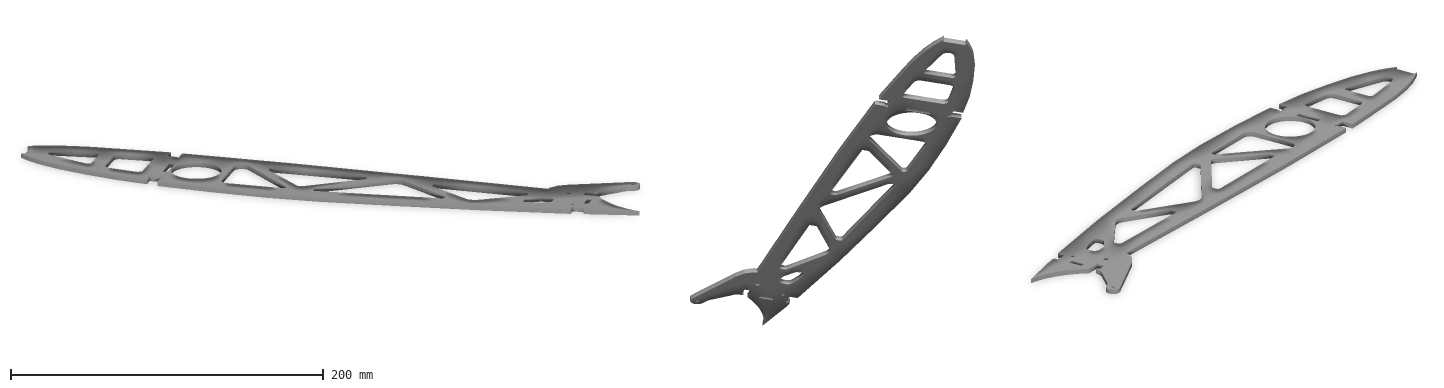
import cadquery as cq
import math

length = 412.0
height = 85.3
thickness = 3.0

nose_inset = 3.0
nose_top = (0, 50.0)
nose_bottom = (0, 34.5)

spar_left = 92.0
spar_right = 99.3
upper_notch_floor = 54.5
lower_notch_floor = 12.0
relief_radius = 1.05

front_top_edge = [(15.5, 55.0), (42.0, 59.5), (spar_left, 62.0)]
rear_top_edge = [(189.0, 61.8), (251.5, 60.0), (344.0, 57.2)]
rear_top_start = (spar_right, 62.0)
front_bottom_start = (spar_left, 5.5)
front_bottom_edge = [(78.3, 7.0), (47.8, 13.5), (28.5, 19.5), (9.5, 28.0), nose_bottom]
rear_bottom_edge = [(329.0, 15.2), (288.5, 10.0), (251.2, 5.8), (212.0, 1.5), (164.0, 0), (126.5, 1.5), (spar_right, 3.7)]

horn_root = [(344.0, 59.5), (347.5, 64.5), (353.5, 68.5)]
horn_end_radius = 4.5
horn_end = (393.5, height - horn_end_radius)
horn_upper_angle = 115
horn_lower_angle = -70
horn_underside = [(390.5, 74.5), (377.3, 61.0), (375.5, 55.5)]

hinge_left = 368.5
hinge_top = 57.2
hinge_lip = 375.0
hinge_bottom = 52.0
tail_shoulder = (378.0, hinge_bottom)
tail_curve = [(387.5, 42.0), (398.5, 34.5), (length, 30.0)]
tail_notch_right = 376.5
tail_notch_top = 26.8
tail_notch_foot = 24.0
tail_lower_corner = (380.0, tail_notch_foot)
rear_bottom_start = (hinge_left, 21.5)

windows = [
    [(3.7, 42.5, 4.0), (48.5, 47.8, 2.0), (48.5, 25.0, 2.0)],
    [(58.5, 48.5, 3.7), (84.5, 50.2, 3.5), (84.5, 18.5, 3.5), (58.5, 22.2, 4.5)],
    [(138.0, 58.5, 5.5), (184.5, 12.8, 2.0), (138.0, 12.8, 5.0)],
    [(161.5, 49.5, 0.5), (226.0, 49.5, 2.0), (226.0, 44.5, 1.2), (189.0, 18.5, 3.0), (161.5, 45.0, 1.0)],
    [(246.5, 50.2, 8.0), (284.5, 24.7, 1.5), (284.5, 20.5, 1.5), (199.7, 12.8, 1.2), (199.7, 17.7, 1.5)],
    [(270.5, 47.5, 0.5), (334.0, 46.0, 2.0), (334.0, 41.0, 2.0), (302.5, 21.5, 8.2), (270.5, 42.5, 1.0)],
    [(335.0, 34.0, 2.5), (343.5, 40.0, 3.5), (352.5, 40.5, 3.7),
     (353.0, 32.0, 3.7), (344.5, 29.2, 3.5), (334.5, 27.5, 2.5)],
]

round_holes = [
    (117.5, 31.5, 16.0),
    (358.7, 52.0, 1.5),
    (367.0, 31.7, 1.2),
    (*horn_end, 1.2),
]

slots = [
    (96.8, 100.5, 24.5, 41.0),
    (373.0, 376.5, 35.5, 45.0),
]


def on_horn_end(angle):
    """Point on the round horn end at an angle in degrees from +X."""
    turn = math.radians(angle)
    return (
        horn_end[0] + horn_end_radius * math.cos(turn),
        horn_end[1] + horn_end_radius * math.sin(turn),
    )


def rounded_polygon(corners):
    """Plate-thick prism whose corners are arcs tangent to both sides."""
    arcs = []
    for i, (x, y, radius) in enumerate(corners):
        corner = cq.Vector(x, y)
        before = (cq.Vector(*corners[i - 1][:2]) - corner).normalized()
        after = (cq.Vector(*corners[(i + 1) % len(corners)][:2]) - corner).normalized()
        half_angle = before.getAngle(after) / 2
        setback = radius / math.tan(half_angle)
        bisector = (before + after).normalized()
        middle = corner + bisector * (radius / math.sin(half_angle) - radius)
        arcs.append((corner + before * setback, middle, corner + after * setback))
    profile = cq.Workplane("XY").moveTo(*arcs[0][0].toTuple()[:2])
    for i, (start, middle, end) in enumerate(arcs):
        if i > 0:
            profile = profile.lineTo(start.x, start.y)
        profile = profile.threePointArc((middle.x, middle.y), (end.x, end.y))
    return profile.close().extrude(thickness)


def plate():
    """Outer outline, drawn clockwise from the upper nose tip."""
    outline = (
        cq.Workplane("XY")
        .moveTo(*nose_top)
        .spline(front_top_edge, includeCurrent=True)
        .lineTo(spar_left, upper_notch_floor)
        .lineTo(spar_right, upper_notch_floor)
        .lineTo(*rear_top_start)
        .spline(rear_top_edge, includeCurrent=True)
    )
    for point in horn_root:
        outline = outline.lineTo(*point)
    outline = outline.lineTo(*on_horn_end(horn_upper_angle))
    outline = outline.threePointArc(on_horn_end(0), on_horn_end(horn_lower_angle))
    for point in horn_underside:
        outline = outline.lineTo(*point)
    return (
        outline
        .lineTo(hinge_lip, hinge_top)
        .lineTo(hinge_left, hinge_top)
        .lineTo(hinge_left, hinge_bottom)
        .lineTo(*tail_shoulder)
        .spline(tail_curve, includeCurrent=True)
        .lineTo(*tail_lower_corner)
        .lineTo(tail_notch_right, tail_notch_foot)
        .lineTo(tail_notch_right, tail_notch_top)
        .lineTo(hinge_left, tail_notch_top)
        .lineTo(*rear_bottom_start)
        .spline(rear_bottom_edge, includeCurrent=True)
        .lineTo(spar_right, lower_notch_floor)
        .lineTo(spar_left, lower_notch_floor)
        .lineTo(*front_bottom_start)
        .spline(front_bottom_edge, includeCurrent=True)
        .lineTo(nose_inset, nose_bottom[1])
        .lineTo(nose_inset, nose_top[1])
        .close()
        .extrude(thickness)
    )


def cylinder(x, y, radius):
    return cq.Workplane("XY").center(x, y).circle(radius).extrude(thickness)


def slot_block(left, right, bottom, top):
    size = (right - left, top - bottom, thickness)
    return cq.Workplane("XY").box(*size, centered=False).translate((left, bottom, 0))


result = plate()
for window in windows:
    result = result.cut(rounded_polygon(window))
for hole in round_holes:
    result = result.cut(cylinder(*hole))
for slot in slots:
    result = result.cut(slot_block(*slot))

for floor in (upper_notch_floor, lower_notch_floor):
    result = result.cut(cylinder(spar_right, floor, relief_radius))